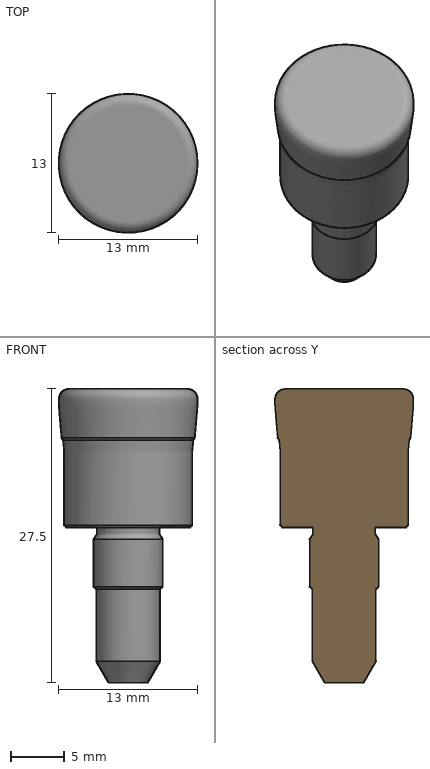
import cadquery as cq
import math

total_height = 27.5

head_diameter = 13.0
head_cone_diameter = 12.48
head_lip_diameter = 12.2
body_diameter = 12.02
neck_diameter = 5.88
collar_diameter = 6.5
pin_diameter = 6.0

head_round = 1.0
head_band_length = 0.52
head_cone_length = 3.08
head_lip_length = 0.22
body_taper_length = 1.0
body_length = 7.18
neck_length = 0.52
collar_length = 4.7
pin_length = 6.75
tip_length = 2.0

body_chamfer = 0.22
collar_bevel_length = 0.25
neck_fillet = 0.35
neck_fillet_angle = math.radians(45)
tip_angle = math.radians(30)

head_radius = head_diameter / 2
body_radius = body_diameter / 2
neck_radius = neck_diameter / 2
collar_radius = collar_diameter / 2
pin_radius = pin_diameter / 2
tip_radius = pin_radius - tip_length * math.tan(tip_angle)

head_band_top = total_height - head_round
head_cone_top = head_band_top - head_band_length
head_lip_top = head_cone_top - head_cone_length
body_taper_top = head_lip_top - head_lip_length
body_top = body_taper_top - body_taper_length
body_bottom = body_top - body_length
neck_bottom = body_bottom - neck_length
pin_top = tip_length + pin_length
collar_top = pin_top + collar_length
collar_bottom_edge = pin_top + collar_bevel_length


def fillet_point(angle):
    """Point on the concave neck fillet after turning by angle from vertical."""
    radius = neck_radius + neck_fillet * (1 - math.cos(angle))
    height = neck_bottom - neck_fillet * math.sin(angle)
    return radius, height


def round_point(angle):
    """Point on the convex top round, angle measured from the radial direction."""
    radius = head_radius - head_round * (1 - math.cos(angle))
    height = head_band_top + head_round * math.sin(angle)
    return radius, height


profile = (
    cq.Workplane("XZ")
    .moveTo(0, 0)
    .lineTo(tip_radius, 0)
    .lineTo(pin_radius, tip_length)
    .lineTo(pin_radius, pin_top)
    .lineTo(collar_radius, collar_bottom_edge)
    .lineTo(collar_radius, collar_top)
    .lineTo(*fillet_point(neck_fillet_angle))
    .threePointArc(fillet_point(neck_fillet_angle / 2), fillet_point(0))
    .lineTo(neck_radius, body_bottom)
    .lineTo(body_radius - body_chamfer, body_bottom)
    .lineTo(body_radius, body_bottom + body_chamfer)
    .lineTo(body_radius, body_top)
    .lineTo(head_lip_diameter / 2, body_taper_top)
    .lineTo(head_cone_diameter / 2, head_lip_top)
    .lineTo(head_radius, head_cone_top)
    .lineTo(head_radius, head_band_top)
    .threePointArc(round_point(math.pi / 4), round_point(math.pi / 2))
    .lineTo(0, total_height)
    .close()
)

result = profile.revolve(360, (0, 0, 0), (0, 1, 0))